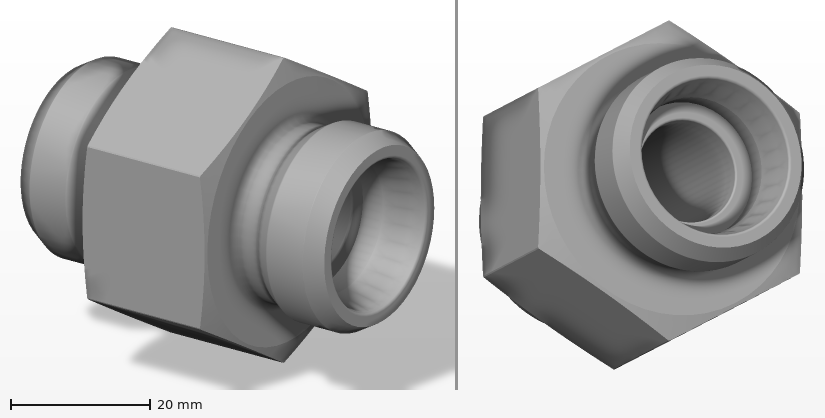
import cadquery as cq
import math

length = 54.0
half_length = length / 2

hex_width = 22.0
hex_across_flats = 41.0
hex_corner_diameter = 47.2
hex_face_diameter = 40.0
hex_bevel_angle = math.radians(15)

thread_diameter = 30.0
neck_diameter = 26.9
cone_angle = math.radians(30)
thread_end = 9.2
thread_front_blend = 0.25
thread_back_blend = 0.55
neck_blend = 0.9
hex_root_blend = 1.2

bore_diameter = 15.0
socket_diameter = 20.2
socket_depth = 10.25
mouth_diameter = 23.05
mouth_half_angle = math.radians(12)
mouth_blend = 0.45
bore_blend = 0.3

overlap = 0.55


def make_hexagon():
    """Hexagon with corners on +Z and -Z, turned down at its corners and ends."""
    across_corners = hex_across_flats / math.cos(math.pi / 6)
    prism = (
        cq.Workplane("YZ")
        .polygon(6, across_corners)
        .extrude(hex_width / 2, both=True)
        .rotate((0, 0, 0), (1, 0, 0), 90)
    )
    face_radius = hex_face_diameter / 2
    corner_radius = hex_corner_diameter / 2
    face_x = hex_width / 2
    bevel_x = face_x - (corner_radius - face_radius) * math.tan(hex_bevel_angle)
    turned = (
        cq.Workplane("XY")
        .moveTo(-face_x, 0)
        .lineTo(-face_x, face_radius)
        .lineTo(-bevel_x, corner_radius)
        .lineTo(bevel_x, corner_radius)
        .lineTo(face_x, face_radius)
        .lineTo(face_x, 0)
        .close()
        .revolve(360, (0, 0, 0), (1, 0, 0))
    )
    return prism.intersect(turned)


def circles_at(x, diameter):
    """Selector for the circular edge of this diameter in the plane at x."""
    tolerance = 0.025

    class RingSelector(cq.Selector):
        def filter(self, edges):
            return [
                edge for edge in edges
                if edge.geomType() == "CIRCLE"
                and abs(edge.Center().x - x) < tolerance
                and abs(edge.radius() - diameter / 2) < tolerance
            ]

    return RingSelector()


def make_end():
    """Solid threaded end on the -X side, with its undercut neck."""
    thread_radius = thread_diameter / 2
    neck_radius = neck_diameter / 2
    cone_length = (thread_radius - neck_radius) / math.tan(cone_angle)
    root_x = -hex_width / 2
    thread_front_x = -half_length + cone_length
    thread_back_x = -half_length + thread_end
    neck_x = thread_back_x + cone_length
    end = (
        cq.Workplane("XY")
        .moveTo(-half_length, 0)
        .lineTo(-half_length, neck_radius)
        .lineTo(thread_front_x, thread_radius)
        .lineTo(thread_back_x, thread_radius)
        .lineTo(neck_x, neck_radius)
        .lineTo(root_x - hex_root_blend, neck_radius)
        .radiusArc((root_x, neck_radius + hex_root_blend), -hex_root_blend)
        .lineTo(root_x + overlap, neck_radius + hex_root_blend)
        .lineTo(root_x + overlap, 0)
        .close()
        .revolve(360, (0, 0, 0), (1, 0, 0))
    )
    end = end.edges(circles_at(thread_front_x, thread_diameter)).fillet(thread_front_blend)
    end = end.edges(circles_at(thread_back_x, thread_diameter)).fillet(thread_back_blend)
    return end.edges(circles_at(neck_x, neck_diameter)).fillet(neck_blend)


def make_socket():
    """Tapered mouth and straight socket cut from the -X end."""
    mouth_radius = mouth_diameter / 2
    socket_radius = socket_diameter / 2
    taper_length = (mouth_radius - socket_radius) / math.tan(mouth_half_angle)
    return (
        cq.Workplane("XY")
        .moveTo(-half_length, 0)
        .lineTo(-half_length, mouth_radius)
        .lineTo(-half_length + taper_length, socket_radius)
        .lineTo(-half_length + socket_depth, socket_radius)
        .lineTo(-half_length + socket_depth, 0)
        .close()
        .revolve(360, (0, 0, 0), (1, 0, 0))
    )


def both_sides(body):
    """The body together with its mirror image across X = 0."""
    return [body, body.mirror("YZ")]


result = make_hexagon()
for end_body in both_sides(make_end()):
    result = result.union(end_body)

bore = cq.Workplane("YZ").circle(bore_diameter / 2).extrude(half_length, both=True)
result = result.cut(bore)
for socket in both_sides(make_socket()):
    result = result.cut(socket)

for side in (-1, 1):
    mouth_x = side * half_length
    shoulder_x = side * (half_length - socket_depth)
    result = result.edges(circles_at(mouth_x, mouth_diameter)).fillet(mouth_blend)
    result = result.edges(circles_at(shoulder_x, bore_diameter)).fillet(bore_blend)